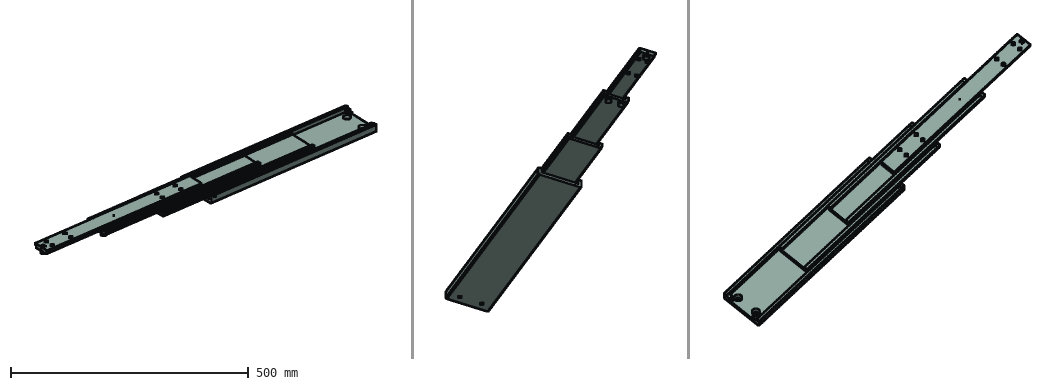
import cadquery as cq
import math

TOTAL_LENGTH = 873.0
Y_BACK = TOTAL_LENGTH / 2
Y_FRONT = -TOTAL_LENGTH / 2

FIXED_LENGTH = 450.0
FIXED_WIDTH = 100.0
FIXED_HALF_WIDTH = FIXED_WIDTH / 2
FIXED_HEIGHT = 19.0
FIXED_WALL = 7.4
FIXED_FLOOR = 8.3
BOTTOM_CHAMFER = 3.0
TOP_CHAMFER = 0.4

BLOCK_DEPTH = 9.0
BLOCK_STEPS = [(9.0, 8.0), (14.0, 3.5)]

MOUNT_X = 25.0
MOUNT_INSET = 17.5
MOUNT_HOLE = 7.0
MOUNT_SINK = 17.0
SINK_ANGLE = 45

LIP_WIDTH = 8.0
LIP_HEIGHT = 6.0
GROOVE_DEPTH = 3.0
WEB_HEIGHT = 4.8
FLOOR_DROP = 6.0

MEMBER_STEP = 8.0
MIDDLE_HALF_WIDTH = 40.0
MIDDLE_TOP = 24.5
MIDDLE_BACK = 277.0
MIDDLE_FRONT = -134.5
INNER_HALF_WIDTH = 30.0
INNER_TOP = MIDDLE_TOP + MEMBER_STEP
INNER_BACK = 137.0
INNER_FRONT = -285.0

SIDE_HOLE = 5.0
SIDE_HOLE_INSET = 10.0
SIDE_HOLE_DROP = 3.5

BAR_HALF_WIDTH = 19.0
BAR_LENGTH = 422.0
BAR_LIP_TOP = INNER_TOP + MEMBER_STEP
BAR_RISE = 4.7
BAR_TOP = INNER_TOP + BAR_RISE
BAR_HOLE = 7.4
BAR_HOLE_X = 10.0
BAR_HOLE_INSETS = [23.0, 73.0, 323.0, 374.0]
PILOT_HOLE = 1.0

POCKET_WIDTH = 8.0
POCKET_LENGTH = 6.0
POCKET_INSET = 3.5
SLIT_WIDTH = 1.0

PIN_DIAMETER = 13.0
PIN_LENGTH = 6.0
INNER_PIN_X = 15.0


def extrude_section(half_outline, y_front, y_back):
    """Solid whose XZ section is the given outline together with its mirror image in X."""
    mirrored = [(-x, z) for x, z in reversed(half_outline) if x > 0]
    section = cq.Workplane("XZ", origin=(0, y_back, 0)).polyline(half_outline + mirrored).close()
    return section.extrude(y_back - y_front)


def underside(lip_top):
    return lip_top - LIP_HEIGHT - GROOVE_DEPTH - WEB_HEIGHT


def sliding_edge(half_width, lip_top):
    """Right-hand edge from the underside up to the lip: web, sloped groove side, lip face."""
    web_x = half_width - GROOVE_DEPTH
    lip_bottom = lip_top - LIP_HEIGHT
    web_top = lip_bottom - GROOVE_DEPTH
    bottom = underside(lip_top)
    return [(0, bottom), (web_x, bottom), (web_x, web_top), (half_width, lip_bottom)]


def side_holes(half_width, y_front, top):
    """Cutter that passes through both side walls of a channel."""
    start = (-half_width, y_front + SIDE_HOLE_INSET, top - SIDE_HOLE_DROP)
    return cq.Workplane("YZ", origin=start).circle(SIDE_HOLE / 2).extrude(2 * half_width)


def stop_pin(x, y_front, z_top):
    centre = (x, y_front + PIN_DIAMETER / 2, z_top)
    return cq.Workplane("XY", origin=centre).circle(PIN_DIAMETER / 2).extrude(-PIN_LENGTH)


def stop_block(side):
    block = cq.Workplane("XY")
    wall_x = FIXED_HALF_WIDTH - FIXED_WALL
    for width, height in BLOCK_STEPS:
        step = cq.Workplane("XY").box(width, BLOCK_DEPTH, height)
        block = block.union(
            step.translate(
                (side * (wall_x - width / 2), Y_BACK - BLOCK_DEPTH / 2, FIXED_FLOOR + height / 2)
            )
        )
    return block


def make_fixed_channel():
    wall_x = FIXED_HALF_WIDTH - FIXED_WALL
    y_front = Y_BACK - FIXED_LENGTH
    channel = extrude_section(
        [
            (0, 0),
            (FIXED_HALF_WIDTH - BOTTOM_CHAMFER, 0),
            (FIXED_HALF_WIDTH, BOTTOM_CHAMFER),
            (FIXED_HALF_WIDTH, FIXED_HEIGHT - TOP_CHAMFER),
            (FIXED_HALF_WIDTH - TOP_CHAMFER, FIXED_HEIGHT),
            (wall_x, FIXED_HEIGHT),
            (wall_x, FIXED_FLOOR),
            (0, FIXED_FLOOR),
        ],
        y_front,
        Y_BACK,
    )
    channel = channel.cut(side_holes(FIXED_HALF_WIDTH, y_front, FIXED_HEIGHT))
    for side in (-1, 1):
        channel = channel.union(stop_block(side))
    mount_points = [(side * MOUNT_X, Y_BACK - MOUNT_INSET) for side in (-1, 1)]
    floor = cq.Workplane("XY", origin=(0, 0, FIXED_FLOOR))
    holes = floor.pushPoints(mount_points).circle(MOUNT_HOLE / 2).extrude(-FIXED_FLOOR)
    sink_depth = (MOUNT_SINK - MOUNT_HOLE) / 2 / math.tan(math.radians(SINK_ANGLE))
    sinks = floor.pushPoints(mount_points).circle(MOUNT_SINK / 2)
    sinks = sinks.extrude(-sink_depth, taper=SINK_ANGLE)
    return channel.cut(holes).cut(sinks)


def make_sliding_channel(half_width, top, y_front, y_back):
    inner_x = half_width - LIP_WIDTH
    floor = top - FLOOR_DROP
    lip_and_floor = [(half_width, top), (inner_x, top), (inner_x, floor), (0, floor)]
    channel = extrude_section(sliding_edge(half_width, top) + lip_and_floor, y_front, y_back)
    return channel.cut(side_holes(half_width, y_front, top))


def make_inner_channel():
    channel = make_sliding_channel(INNER_HALF_WIDTH, INNER_TOP, INNER_FRONT, INNER_BACK)
    for side in (-1, 1):
        channel = channel.union(stop_pin(side * INNER_PIN_X, INNER_FRONT, underside(INNER_TOP)))
    return channel


def make_bar():
    bottom = underside(BAR_LIP_TOP)
    top_outline = [(BAR_HALF_WIDTH, BAR_TOP), (0, BAR_TOP)]
    outline = sliding_edge(BAR_HALF_WIDTH, BAR_LIP_TOP) + top_outline
    bar = extrude_section(outline, Y_FRONT, Y_FRONT + BAR_LENGTH)

    base = cq.Workplane("XY", origin=(0, Y_FRONT, bottom))
    thickness = BAR_TOP - bottom
    hole_points = [(side * BAR_HOLE_X, inset) for side in (-1, 1) for inset in BAR_HOLE_INSETS]
    holes = base.pushPoints(hole_points).circle(BAR_HOLE / 2).extrude(thickness)
    pilot_y = (BAR_HOLE_INSETS[0] + BAR_HOLE_INSETS[-1]) / 2
    pilot = base.center(0, pilot_y).circle(PILOT_HOLE / 2).extrude(thickness)
    pocket = base.center(0, POCKET_INSET + POCKET_LENGTH / 2).rect(POCKET_WIDTH, POCKET_LENGTH)
    bar = bar.cut(holes).cut(pilot).cut(pocket.extrude(thickness))
    slit = base.center(0, POCKET_INSET / 2).rect(SLIT_WIDTH, POCKET_INSET).extrude(thickness)
    bar = bar.cut(slit)
    return bar.union(stop_pin(0, Y_FRONT, bottom))


fixed_channel = make_fixed_channel()
middle_channel = make_sliding_channel(MIDDLE_HALF_WIDTH, MIDDLE_TOP, MIDDLE_FRONT, MIDDLE_BACK)
inner_channel = make_inner_channel()
bar = make_bar()

result = cq.Compound.makeCompound(
    [fixed_channel.val(), middle_channel.val(), inner_channel.val(), bar.val()]
)